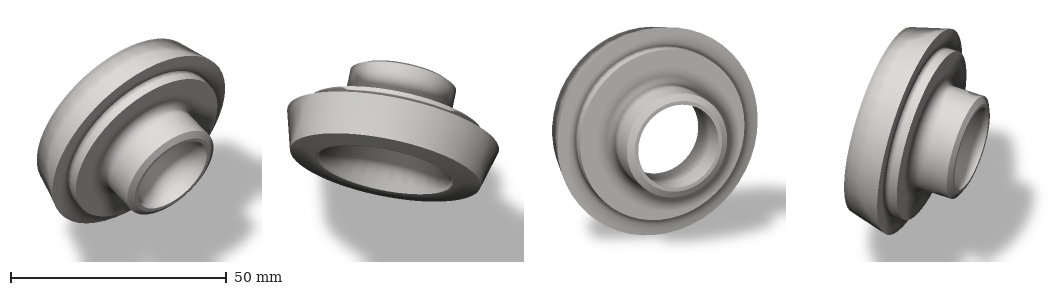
import cadquery as cq
import math

total_length = 23.0
rim_x = 0.6
flange_back_x = 10.0
step_back_x = 13.0

rim_radius = 22.5
flange_radius = 25.0
step_radius = 41.0 / 2
hub_radius = 25.0 / 2
hub_fillet = 1.6
hub_chamfer_length = 0.85
hub_chamfer_depth = 1.6

bore_radius = 20.0 / 2
land_radius = 16.5
mouth_radius = 16.05
cone_end_x = 10.4

fillet_center_x = step_back_x + hub_fillet
fillet_center_radius = hub_radius + hub_fillet
fillet_offset = hub_fillet * math.sqrt(0.5)
fillet_middle = (fillet_center_x - fillet_offset, fillet_center_radius - fillet_offset)

profile = (
    cq.Workplane("XY")
    .moveTo(0, land_radius)
    .lineTo(rim_x, rim_radius)
    .lineTo(flange_back_x, flange_radius)
    .lineTo(flange_back_x, step_radius)
    .lineTo(step_back_x, step_radius)
    .lineTo(step_back_x, fillet_center_radius)
    .threePointArc(fillet_middle, (fillet_center_x, hub_radius))
    .lineTo(total_length - hub_chamfer_length, hub_radius)
    .lineTo(total_length, hub_radius - hub_chamfer_depth)
    .lineTo(total_length, bore_radius)
    .lineTo(cone_end_x, bore_radius)
    .lineTo(0, mouth_radius)
    .close()
)

result = profile.revolve(360, (0, 0, 0), (1, 0, 0))